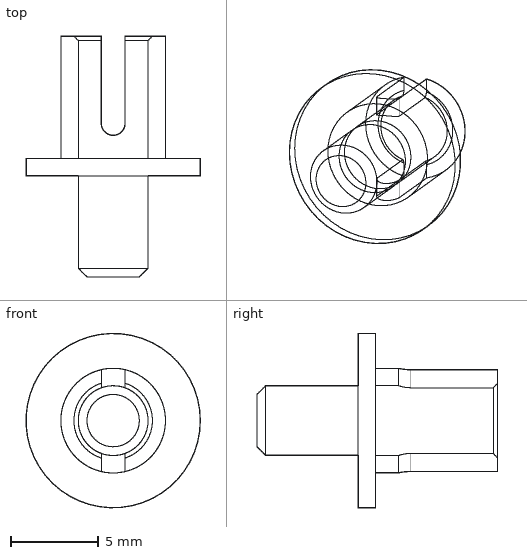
import cadquery as cq

flange_diameter = 10.0
flange_thickness = 1.0
pin_diameter = 4.0
pin_length = 5.8
pin_chamfer = 0.5
barrel_diameter = 6.0
barrel_length = 7.0
slot_width = 1.35
slot_straight_length = 5.0
bore_diameter = 4.0
bore_depth = barrel_length
bore_chamfer = 0.25

pin_tip_y = -pin_length
barrel_start_y = flange_thickness
barrel_end_y = barrel_start_y + barrel_length


def cylinder_along_y(diameter, start_y, length):
    """Solid cylinder on the Y axis, running from start_y toward +Y."""
    base = cq.Workplane("XZ", origin=(0, start_y, 0))
    return base.circle(diameter / 2).extrude(-length)


def make_pin():
    """Pin on the -Y side of the flange, with a chamfered tip."""
    pin = cylinder_along_y(pin_diameter, pin_tip_y, pin_length)
    return pin.faces("<Y").chamfer(pin_chamfer)


def make_slot_cutter():
    """Round-bottomed slot, open at the barrel end and running through along Z."""
    half_width = slot_width / 2
    arc_start_y = barrel_end_y - slot_straight_length
    slot_bottom_y = arc_start_y - half_width
    profile = (
        cq.Workplane("XY")
        .moveTo(-half_width, barrel_end_y)
        .lineTo(-half_width, arc_start_y)
        .threePointArc((0, slot_bottom_y), (half_width, arc_start_y))
        .lineTo(half_width, barrel_end_y)
        .close()
    )
    return profile.extrude(barrel_diameter / 2, both=True)


def make_barrel():
    """Tubular barrel with a chamfered bore mouth, split into two prongs by the slot."""
    barrel = cylinder_along_y(barrel_diameter, barrel_start_y, barrel_length)
    bore = cylinder_along_y(bore_diameter, barrel_end_y - bore_depth, bore_depth)
    tube = barrel.cut(bore)
    smallest_circle = cq.selectors.RadiusNthSelector(0)
    chamfered_tube = tube.faces(">Y").edges(smallest_circle).chamfer(bore_chamfer)
    return chamfered_tube.cut(make_slot_cutter())


flange = cylinder_along_y(flange_diameter, 0, flange_thickness)

result = flange.union(make_pin()).union(make_barrel())